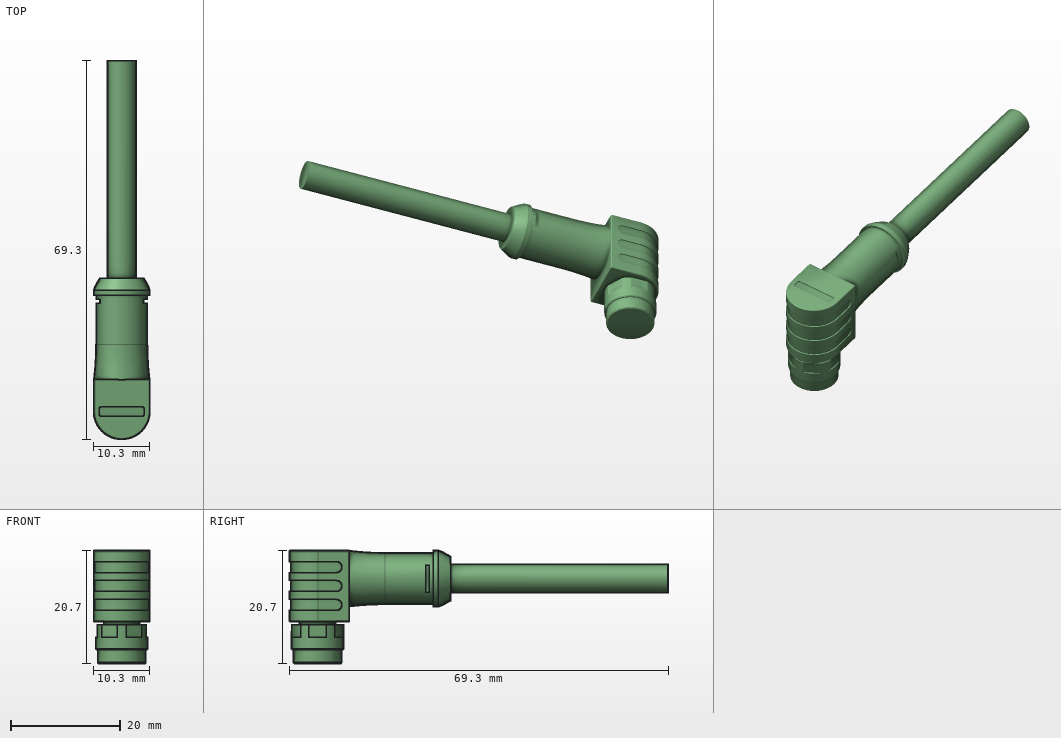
import cadquery as cq


TOTAL_LENGTH = 69.3
TOTAL_HEIGHT = 20.7
HEAD_WIDTH = 10.3
HEAD_RADIUS = HEAD_WIDTH / 2

HEAD_HEIGHT = 13.0
HEAD_REAR_Y = 5.8
HEAD_EDGE_ROUND = 0.2

GRIP_COUNT = 3
GRIP_PITCH = 3.45
GRIP_WIDTH = 2.0
GRIP_DEPTH = 0.2
GRIP_REAR_Y = 4.45

RECESS_LENGTH = 8.25
RECESS_WIDTH = 1.7
RECESS_CENTER_Y = -0.1
RECESS_CORNER = 0.4
RECESS_DEPTH = 0.2

NECK_RADIUS = 3.3
NECK_HEIGHT = 0.55
NUT_RADIUS = 4.8
NUT_HEIGHT = 4.6
NUT_CHAMFER = 0.17
FLAT_COUNT = 6
FLAT_APOTHEM = 4.5
FLAT_HEIGHT = 2.35
SKIRT_RADIUS = 4.45
SKIRT_CHAMFER = 0.2
NUT_TOP_Z = -NECK_HEIGHT
NUT_BOTTOM_Z = NUT_TOP_Z - NUT_HEIGHT
BOTTOM_Z = HEAD_HEIGHT - TOTAL_HEIGHT

AXIS_Z = HEAD_HEIGHT - HEAD_RADIUS
CABLE_RADIUS = 2.6
CABLE_END_Y = TOTAL_LENGTH - HEAD_RADIUS
SLEEVE_RADIUS = 4.7
FLARE_RADIUS = 5.1
FLARE_START_Y = 12.3
COLLAR_RADIUS = HEAD_RADIUS
COLLAR_FRONT_Y = 21.2
COLLAR_REAR_Y = 22.1
CAP_END_Y = 24.3
CAP_END_RADIUS = 4.0
CAP_MID_Y = 23.3
CAP_MID_RADIUS = 4.65

NOTCH_FRONT_Y = 19.75
NOTCH_WIDTH = 0.7
NOTCH_FLOOR_X = 4.0


def make_d_block(radius):
    """D-shaped block as tall as the head: half-round front, straight sides to the rear."""
    return (
        cq.Workplane("XY")
        .moveTo(-radius, HEAD_REAR_Y)
        .lineTo(-radius, 0)
        .threePointArc((0, -radius), (radius, 0))
        .lineTo(radius, HEAD_REAR_Y)
        .close()
        .extrude(HEAD_HEIGHT)
    )


def make_grip_grooves():
    """Shallow round-ended bands around the sides and front of the head."""
    core = make_d_block(HEAD_RADIUS - GRIP_DEPTH)
    shell = make_d_block(HEAD_WIDTH).cut(core)
    band_length = GRIP_REAR_Y + 2 * HEAD_WIDTH
    band_center_y = GRIP_REAR_Y - band_length / 2
    lowest_z = HEAD_HEIGHT / 2 - GRIP_PITCH * (GRIP_COUNT - 1) / 2
    band_centers = [(band_center_y, lowest_z + i * GRIP_PITCH) for i in range(GRIP_COUNT)]
    bands = (
        cq.Workplane("YZ")
        .pushPoints(band_centers)
        .slot2D(band_length, GRIP_WIDTH)
        .extrude(HEAD_WIDTH, both=True)
    )
    return shell.intersect(bands)


def make_recess():
    """Rounded rectangle sunk into the top face of the head."""
    return (
        cq.Workplane("XY", origin=(0, RECESS_CENTER_Y, HEAD_HEIGHT - RECESS_DEPTH))
        .rect(RECESS_LENGTH, RECESS_WIDTH)
        .extrude(2 * RECESS_DEPTH)
        .edges("|Z")
        .fillet(RECESS_CORNER)
    )


def make_head():
    """D-shaped block with rounded edges, grip grooves and the marking recess."""
    block = make_d_block(HEAD_RADIUS)
    block = block.faces("<Z or >Z or >Y").edges().fillet(HEAD_EDGE_ROUND)
    return block.cut(make_grip_grooves()).cut(make_recess())


def make_nut():
    """Neck, nut with flats around its upper part, and plain skirt."""
    neck = cq.Workplane("XY").circle(NECK_RADIUS).extrude(NUT_TOP_Z)
    nut = (
        cq.Workplane("XY", origin=(0, 0, NUT_BOTTOM_Z))
        .circle(NUT_RADIUS)
        .extrude(NUT_HEIGHT)
        .faces("<Z")
        .chamfer(NUT_CHAMFER)
    )
    for i in range(FLAT_COUNT):
        flat = (
            cq.Workplane("XY", origin=(0, 0, NUT_TOP_Z - FLAT_HEIGHT))
            .center(FLAT_APOTHEM + NUT_RADIUS / 2, 0)
            .rect(NUT_RADIUS, 2 * NUT_RADIUS)
            .extrude(FLAT_HEIGHT)
            .rotate((0, 0, 0), (0, 0, 1), i * 360 / FLAT_COUNT)
        )
        nut = nut.cut(flat)
    skirt = (
        cq.Workplane("XY", origin=(0, 0, BOTTOM_Z))
        .circle(SKIRT_RADIUS)
        .extrude(NUT_BOTTOM_Z - BOTTOM_Z)
        .faces("<Z")
        .chamfer(SKIRT_CHAMFER)
    )
    return neck.union(nut).union(skirt)


def make_sleeve_and_cable():
    """Turned profile of the flared sleeve, collar, domed cap and cable."""
    flare_root_y = HEAD_REAR_Y - HEAD_EDGE_ROUND
    turned = (
        cq.Workplane("XY", origin=(0, 0, AXIS_Z))
        .moveTo(0, CABLE_END_Y)
        .lineTo(CABLE_RADIUS, CABLE_END_Y)
        .lineTo(CABLE_RADIUS, CAP_END_Y)
        .lineTo(CAP_END_RADIUS, CAP_END_Y)
        .threePointArc((CAP_MID_RADIUS, CAP_MID_Y), (COLLAR_RADIUS, COLLAR_REAR_Y))
        .lineTo(COLLAR_RADIUS, COLLAR_FRONT_Y)
        .lineTo(SLEEVE_RADIUS, COLLAR_FRONT_Y)
        .lineTo(SLEEVE_RADIUS, FLARE_START_Y)
        .tangentArcPoint((FLARE_RADIUS, flare_root_y), relative=False)
        .lineTo(0, flare_root_y)
        .close()
        .revolve(360, (0, 0, 0), (0, 1, 0))
    )
    for side in (-1, 1):
        notch = cq.Workplane("XY").box(SLEEVE_RADIUS, NOTCH_WIDTH, 2 * SLEEVE_RADIUS)
        notch_x = side * (NOTCH_FLOOR_X + SLEEVE_RADIUS / 2)
        turned = turned.cut(notch.translate((notch_x, NOTCH_FRONT_Y + NOTCH_WIDTH / 2, AXIS_Z)))
    return turned


result = make_head().union(make_nut()).union(make_sleeve_and_cable())